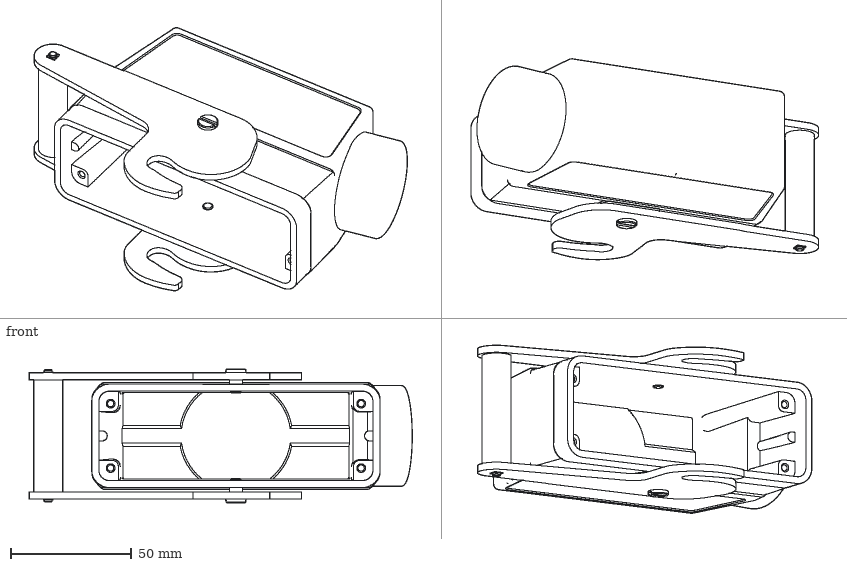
import cadquery as cq
import math


hood_depth = 75.8
side_tilt = 11.0
wall = 3.0
embed = wall / 2
rim_height = 11.0
rim_half_x = 60.0
rim_half_z = 21.5
rim_corner = 7.3
waist_half_z = 20.5
waist_wide_half_x = 59.85
waist_wide_corner_x = 3.7
waist_wide_corner_z = 6.3
waist_narrow_corner_x = 0.75
waist_narrow_corner_z = 1.4
ledge_y = 32.4
ledge_half_x = 57.8
ledge_half_z = 21.5
shoulder_y = 37.0
upper_half_z = 22.3
upper_corner = 2.5
back_fillet = 2.0

panel_depth = 0.5
panel_top_y = 71.8
panel_top_half_x = 46.4
panel_bottom_y = 36.7
panel_bottom_half_x = 52.2
panel_corner = 3.0
panel_side_slope = 45.0

mouth_half_z = 18.6
floor_half_z = 18.0
floor_y = hood_depth - wall
cavity_corner = rim_corner - wall
cavity_deep_corner = 0.8
outlet_wall_x = 48.8
pad_height = 2.0
disc_radius = 22.8
rib_half_width = 3.0
rib_flare = 1.4
disc_flare = 0.8

inset = 8.5
boss_inner_x = 48.9
boss_inner_z = 10.2
boss_draft = 0.8
boss_corner = 2.5
boss_hole_x = 52.1
boss_hole_z = 13.4
boss_hole_diameter = 2.6
boss_hole_chamfer = 0.5
boss_hole_depth = 15.0
key_radius = 2.1
key_x = 55.6

outlet_diameter = 42.0
outlet_end_x = 69.5
outlet_end_y = 56.05
outlet_fillet = 0.7
outlet_length = 16.5

pivot_y = 24.7
lever_inner_z = 23.3
lever_thickness = 3.0
lever_outer_z = lever_inner_z + lever_thickness
handle_x = -78.1
handle_y = 26.7
handle_end_radius = 7.9
handle_diameter = 12.2
rivet_square = 4.0
rivet_square_height = 0.3
rivet_diameter = 3.4
rivet_top_z = 27.6
rivet_chamfer = 0.4
lever_lower_edge_x = -79.0
lever_lower_edge_y = 18.9
pivot_pad_z = 21.3
screw_head_diameter = 8.5
screw_top_z = 27.9
screw_chamfer = 0.4
screw_shoulder_diameter = 5.5
screw_tip_diameter = 4.3
screw_tip_z = 17.8
slot_width = 1.8
slot_depth = 1.0

tilt_run = math.tan(math.radians(side_tilt))


def section(y, half_x, half_z, corner_x, corner_z):
    """Rectangle with rounded corners, as a wire in the plane at height y."""
    flat_x = half_x - corner_x
    flat_z = half_z - corner_z
    bulge = math.sqrt(0.5)
    corner_mid_x = flat_x + corner_x * bulge
    corner_mid_z = flat_z + corner_z * bulge
    outline = (
        cq.Workplane(cq.Plane(origin=(0, y, 0), xDir=(1, 0, 0), normal=(0, -1, 0)))
        .moveTo(flat_x, half_z)
        .threePointArc((corner_mid_x, corner_mid_z), (half_x, flat_z))
        .lineTo(half_x, -flat_z)
        .threePointArc((corner_mid_x, -corner_mid_z), (flat_x, -half_z))
        .lineTo(-flat_x, -half_z)
        .threePointArc((-corner_mid_x, -corner_mid_z), (-half_x, -flat_z))
        .lineTo(-half_x, flat_z)
        .threePointArc((-corner_mid_x, corner_mid_z), (-flat_x, half_z))
        .close()
    )
    return outline.val()


def loft(*sections):
    """Straight-sided body through the given sections."""
    return cq.Workplane(cq.Solid.makeLoft(list(sections), True))


def both_sides(body):
    """The body together with its mirror image across Z = 0."""
    return body.union(body.mirror("XY"))


def hood_outside():
    rim = loft(
        section(0, rim_half_x, rim_half_z, rim_corner, rim_corner),
        section(rim_height, rim_half_x, rim_half_z, rim_corner, rim_corner),
    )
    waist = loft(
        section(rim_height, waist_wide_half_x, waist_half_z, waist_wide_corner_x, waist_wide_corner_z),
        section(ledge_y, ledge_half_x, waist_half_z, waist_narrow_corner_x, waist_narrow_corner_z),
    )
    shoulder_half_x = ledge_half_x - (shoulder_y - ledge_y) * tilt_run
    back_half_x = ledge_half_x - (hood_depth - ledge_y) * tilt_run
    shoulder = loft(
        section(ledge_y, ledge_half_x, ledge_half_z, upper_corner, upper_corner),
        section(shoulder_y, shoulder_half_x, upper_half_z, upper_corner, upper_corner),
    )
    upper = loft(
        section(shoulder_y, shoulder_half_x, upper_half_z, upper_corner, upper_corner),
        section(hood_depth, back_half_x, upper_half_z, upper_corner, upper_corner),
    )
    upper = upper.faces(">Y").edges().fillet(back_fillet)
    return rim.union(waist).union(shoulder).union(upper)


def panel_recesses():
    outline = cq.Sketch().polygon([
        (-panel_bottom_half_x, panel_bottom_y),
        (panel_bottom_half_x, panel_bottom_y),
        (panel_top_half_x, panel_top_y),
        (-panel_top_half_x, panel_top_y),
        (-panel_bottom_half_x, panel_bottom_y),
    ]).vertices().fillet(panel_corner)
    recess = (
        cq.Workplane("XY", origin=(0, 0, upper_half_z))
        .placeSketch(outline)
        .extrude(-panel_depth, taper=panel_side_slope)
    )
    return both_sides(recess)


def cavity():
    mouth_half_x = rim_half_x - wall
    ledge_inner_half_x = ledge_half_x - wall
    floor_half_x = ledge_inner_half_x - (floor_y - ledge_y) * tilt_run
    narrowing_z = (mouth_half_z - floor_half_z) / floor_y
    rim_inner_half_z = mouth_half_z - narrowing_z * rim_height
    ledge_inner_half_z = mouth_half_z - narrowing_z * ledge_y
    mouth_part = loft(
        section(0, mouth_half_x, mouth_half_z, cavity_corner, cavity_corner),
        section(rim_height, mouth_half_x, rim_inner_half_z, cavity_corner, cavity_corner),
    )
    waist_part = loft(
        section(rim_height, mouth_half_x, rim_inner_half_z, cavity_corner, cavity_corner),
        section(ledge_y, ledge_inner_half_x, ledge_inner_half_z, cavity_deep_corner, cavity_deep_corner),
    )
    inner_part = loft(
        section(ledge_y, ledge_inner_half_x, ledge_inner_half_z, cavity_deep_corner, cavity_deep_corner),
        section(floor_y, floor_half_x, floor_half_z, cavity_deep_corner, cavity_deep_corner),
    )
    return mouth_part.union(waist_part).union(inner_part)


def outlet_wall():
    """Extra wall thickness behind the cable outlet, leaving a ledge facing the mouth."""
    thickness = ledge_half_x - outlet_wall_x
    length = hood_depth - ledge_y
    block = cq.Workplane("XY").box(thickness, length, 2 * upper_half_z)
    return block.translate((outlet_wall_x + thickness / 2, ledge_y + length / 2, 0))


def floor_pads():
    """Disc with a rib on each side, standing on the cavity floor with flared sides."""
    root_y = floor_y + embed
    top_y = floor_y - pad_height
    disc = cq.Workplane(cq.Solid.makeCone(
        disc_radius, disc_radius + disc_flare, pad_height, cq.Vector(0, top_y, 0), cq.Vector(0, 1, 0)
    ))
    rib_root = rib_half_width + rib_flare
    rib = (
        cq.Workplane("YZ")
        .polyline([
            (top_y, -rib_half_width),
            (floor_y, -rib_root),
            (root_y, -rib_root),
            (root_y, rib_root),
            (floor_y, rib_root),
            (top_y, rib_half_width),
        ])
        .close()
        .extrude(ledge_half_x, both=True)
    )
    return disc.union(rib)


def boss(side_x, side_z):
    """Square screw boss in one corner of the cavity."""
    size_x = rim_half_x - boss_inner_x
    size_z = rim_half_z - boss_inner_z
    length = floor_y + embed - inset
    outline = cq.Sketch().rect(size_x, size_z).vertices("<X and <Y").fillet(boss_corner)
    block = cq.Workplane("XZ").placeSketch(outline).extrude(-length, taper=-boss_draft)
    if side_x < 0:
        block = block.mirror("YZ")
    if side_z < 0:
        block = block.mirror("XY")
    block = block.translate((
        side_x * (boss_inner_x + size_x / 2),
        inset,
        side_z * (boss_inner_z + size_z / 2),
    ))
    hole = cq.Workplane(cq.Solid.makeCylinder(
        boss_hole_diameter / 2,
        boss_hole_depth,
        cq.Vector(side_x * boss_hole_x, inset, side_z * boss_hole_z),
        cq.Vector(0, 1, 0),
    ))
    countersink = cq.Workplane(cq.Solid.makeCone(
        boss_hole_diameter / 2 + boss_hole_chamfer,
        boss_hole_diameter / 2,
        boss_hole_chamfer,
        cq.Vector(side_x * boss_hole_x, inset, side_z * boss_hole_z),
        cq.Vector(0, 1, 0),
    ))
    return block.cut(hole).cut(countersink)


def key(side_x):
    """Rounded locating key on the middle of an end wall."""
    length = ledge_y - inset
    start = cq.Vector(side_x * key_x, inset, 0)
    rod = cq.Workplane(cq.Solid.makeCylinder(key_radius, length, start, cq.Vector(0, 1, 0)))
    web_depth = rim_half_x - key_x
    web = cq.Workplane("XY").box(web_depth, length, 2 * key_radius)
    web = web.translate((side_x * (key_x + web_depth / 2), inset + length / 2, 0))
    return rod.union(web)


def cavity_fittings():
    fittings = floor_pads().union(outlet_wall())
    for side_x in (-1, 1):
        fittings = fittings.union(key(side_x))
        for side_z in (-1, 1):
            fittings = fittings.union(boss(side_x, side_z))
    return fittings


def cable_outlet():
    axis = cq.Vector(math.cos(math.radians(side_tilt)), math.sin(math.radians(side_tilt)), 0)
    start = cq.Vector(outlet_end_x, outlet_end_y, 0) - axis * outlet_length
    outlet_plane = cq.Plane(origin=start.toTuple(), xDir=(0, 0, 1), normal=axis.toTuple())
    outlet = cq.Workplane(outlet_plane).circle(outlet_diameter / 2).extrude(outlet_length)
    return outlet.faces(">X").edges().fillet(outlet_fillet)


def lever():
    """Locking lever with a cam-shaped head and a hook below it."""
    outline = (
        cq.Workplane("XY", origin=(0, 0, lever_inner_z))
        .moveTo(handle_x, handle_y + handle_end_radius)
        .lineTo(-49.0, 34.6)
        .lineTo(-47.5, 35.0)
        .lineTo(10.4, 35.0)
        .threePointArc((18.4, 32.1), (24.2, 23.4))
        .lineTo(27.1, 15.3)
        .threePointArc((22.6, 0.4), (9.2, -5.4))
        .threePointArc((4.9, -5.0), (0.8, -3.7))
        .threePointArc((-1.6, -3.1), (-4.0, -3.3))
        .threePointArc((-8.0, -7.8), (-4.4, -12.7))
        .lineTo(-2.4, -12.9)
        .threePointArc((4.4, -14.5), (11.3, -15.1))
        .threePointArc((13.8, -16.3), (13.9, -19.0))
        .threePointArc((13.6, -20.6), (12.4, -21.3))
        .threePointArc((6.5, -22.9), (0.2, -23.5))
        .threePointArc((-9.6, -20.8), (-16.2, -14.4))
        .threePointArc((-17.4, -11.6), (-17.8, -8.5))
        .lineTo(-17.8, 4.8)
        .threePointArc((-19.5, 9.2), (-24.3, 11.5))
        .lineTo(lever_lower_edge_x, lever_lower_edge_y)
        .threePointArc((handle_x - handle_end_radius, handle_y), (handle_x, handle_y + handle_end_radius))
        .close()
    )
    return outline.extrude(lever_thickness)


def round_pin(x, y, diameter, bottom_z, top_z):
    return cq.Workplane("XY", origin=(x, y, bottom_z)).circle(diameter / 2).extrude(top_z - bottom_z)


def pivot_screw():
    tip = round_pin(0, pivot_y, screw_tip_diameter, screw_tip_z, waist_half_z)
    tip = tip.faces("<Z").edges().chamfer(screw_chamfer)
    shoulder = round_pin(0, pivot_y, screw_shoulder_diameter, waist_half_z - embed, lever_outer_z)
    head = round_pin(0, pivot_y, screw_head_diameter, lever_outer_z, screw_top_z)
    head = head.faces(">Z").edges().chamfer(screw_chamfer)
    slot = (
        cq.Workplane("XY", origin=(0, pivot_y, screw_top_z))
        .rect(2 * screw_head_diameter, slot_width)
        .extrude(-slot_depth)
    )
    return tip.union(shoulder).union(head.cut(slot))


def pivot_pad():
    """Low round pad around the pivot, reaching down to the rim."""
    return round_pin(0, pivot_y, 2 * (pivot_y - rim_height), waist_half_z - embed, pivot_pad_z)


def handle_rivet():
    square = (
        cq.Workplane("XY", origin=(handle_x, handle_y, lever_outer_z))
        .rect(rivet_square, rivet_square)
        .extrude(rivet_square_height)
    )
    button = round_pin(handle_x, handle_y, rivet_diameter, lever_outer_z, rivet_top_z)
    button = button.faces(">Z").edges().chamfer(rivet_chamfer)
    return square.union(button)


def handle_bar():
    return round_pin(handle_x, handle_y, handle_diameter, -lever_inner_z, lever_inner_z)


hood_blank = hood_outside().cut(panel_recesses())
hollow = cavity()
hood = hood_blank.cut(hollow).union(cavity_fittings().intersect(hood_blank))
hood = hood.union(cable_outlet())
lever_side = lever().union(pivot_pad()).union(pivot_screw()).union(handle_rivet())
result = hood.union(both_sides(lever_side)).union(handle_bar())